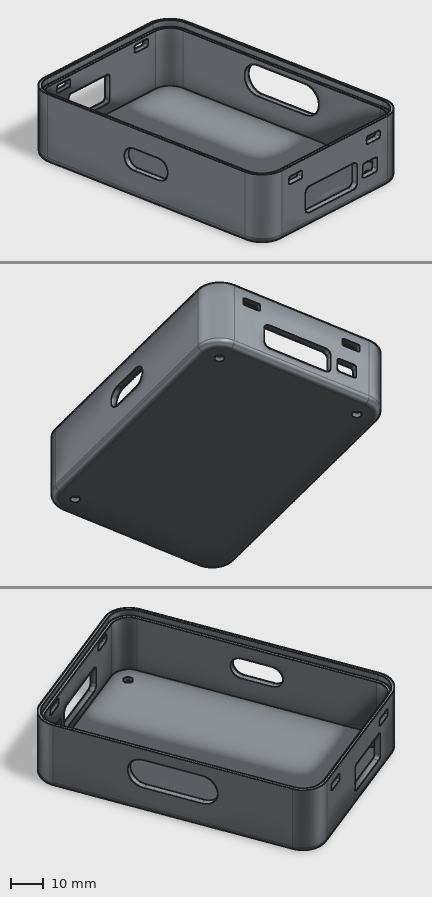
import cadquery as cq

LENGTH = 96
WIDTH = 65.0
HEIGHT = 24
WALL = 2.0
CORNER_RADIUS = 8.0
BOTTOM_FILLET = 2.2

LIP_WIDTH = WALL / 2
LIP_DEPTH = 2.2

SCREW_DIAMETER = 3.0
SCREW_X = 40.5
SCREW_Y = 25
SCREW_POSITIONS = [(SCREW_X, SCREW_Y), (SCREW_X, -SCREW_Y), (-SCREW_X, -SCREW_Y)]

FRONT_SLOT_LENGTH = 17.6
FRONT_SLOT_HEIGHT = 7.5
FRONT_SLOT_Z = 13.2
BACK_SLOT_LENGTH = 30.0
BACK_SLOT_HEIGHT = 10.6
BACK_SLOT_Z = 14.6

LATCH_WIDTH = 6.2
LATCH_HEIGHT = 2.7
LATCH_RADIUS = 0.7
LATCH_Y = 18.0
LATCH_Z = 19.2

LEFT_WINDOW_WIDTH = 19.0
LEFT_WINDOW_HEIGHT = 10.0
LEFT_WINDOW_RADIUS = 1.2
LEFT_WINDOW_Y = -6.1
LEFT_WINDOW_Z = 10.4

RIGHT_WINDOW_WIDTH = 24.2
RIGHT_WINDOW_HEIGHT = 9.0
RIGHT_WINDOW_RADIUS = 2.0
RIGHT_WINDOW_Y = -1.4
RIGHT_WINDOW_Z = 9.3
PORT_WIDTH = 6.9
PORT_HEIGHT = 5.0
PORT_RADIUS = 1
PORT_Y = 16.5
PORT_Z = 9.4

CUTTER_MARGIN = 1.9
CUTTER_DEPTH = WALL + 2 * CUTTER_MARGIN


def rounded_block(inset, bottom, top):
    """Block following the outer outline, moved inwards by inset."""
    return (
        cq.Workplane("XY", origin=(0, 0, bottom))
        .rect(LENGTH - 2 * inset, WIDTH - 2 * inset)
        .extrude(top - bottom)
        .edges("|Z")
        .fillet(CORNER_RADIUS - inset)
    )


def short_wall_cutter(side, width, height, radius, y, z):
    """Rounded rectangular opening through one short wall; side is +1 or -1 along X."""
    x = side * (LENGTH - WALL) / 2
    cutter = cq.Workplane("XY").box(CUTTER_DEPTH, width, height)
    return cutter.edges("|X").fillet(radius).translate((x, y, z))


def long_wall_slot(side, length, height, z):
    """Round-ended slot through the middle of one long wall; side is +1 or -1 along Y."""
    y = side * (WIDTH - WALL) / 2
    return (
        cq.Workplane("XZ", origin=(0, y, z))
        .slot2D(length, height)
        .extrude(CUTTER_DEPTH / 2, both=True)
    )


body = rounded_block(0, 0, HEIGHT).faces("<Z").edges().fillet(BOTTOM_FILLET)
body = body.cut(rounded_block(WALL, WALL, HEIGHT))
body = body.cut(rounded_block(LIP_WIDTH, HEIGHT - LIP_DEPTH, HEIGHT))

body = body.cut(
    cq.Workplane("XY").pushPoints(SCREW_POSITIONS).circle(SCREW_DIAMETER / 2).extrude(HEIGHT)
)

body = body.cut(long_wall_slot(-1, FRONT_SLOT_LENGTH, FRONT_SLOT_HEIGHT, FRONT_SLOT_Z))
body = body.cut(long_wall_slot(1, BACK_SLOT_LENGTH, BACK_SLOT_HEIGHT, BACK_SLOT_Z))

for wall_side in (-1, 1):
    for latch_y in (-LATCH_Y, LATCH_Y):
        body = body.cut(
            short_wall_cutter(wall_side, LATCH_WIDTH, LATCH_HEIGHT, LATCH_RADIUS, latch_y, LATCH_Z)
        )
body = body.cut(
    short_wall_cutter(
        -1, LEFT_WINDOW_WIDTH, LEFT_WINDOW_HEIGHT, LEFT_WINDOW_RADIUS, LEFT_WINDOW_Y, LEFT_WINDOW_Z
    )
)
body = body.cut(
    short_wall_cutter(
        1, RIGHT_WINDOW_WIDTH, RIGHT_WINDOW_HEIGHT, RIGHT_WINDOW_RADIUS, RIGHT_WINDOW_Y, RIGHT_WINDOW_Z
    )
)
body = body.cut(short_wall_cutter(1, PORT_WIDTH, PORT_HEIGHT, PORT_RADIUS, PORT_Y, PORT_Z))

result = body